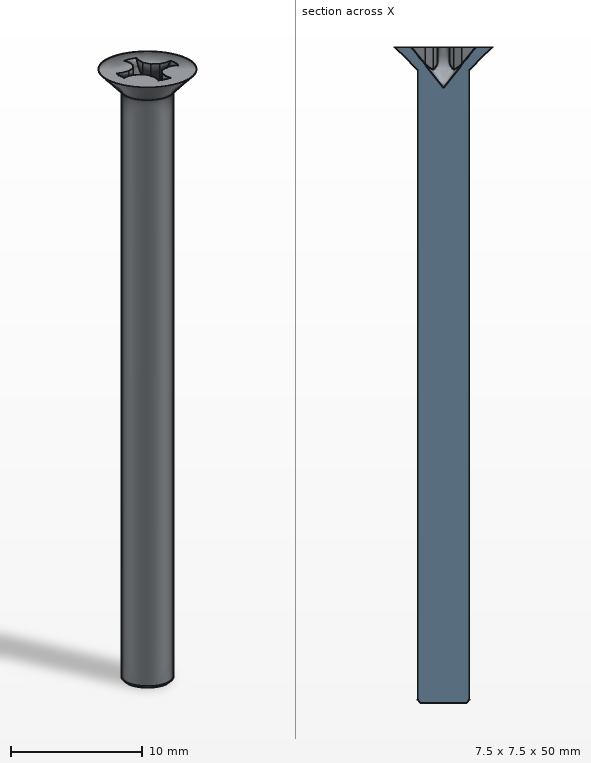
import cadquery as cq

total_length = 50.0
shank_diameter = 4.0
head_diameter = 7.5
tip_chamfer = 0.25

recess_span = 5.0
recess_depth = 3.1
wing_count = 4
rib_nose = 0.78
wing_root_distance = 1.38
wing_waist_distance = 1.95
wing_root_width = 0.92
wing_waist_width = 0.86
wing_end_width = 1.08

shank_radius = shank_diameter / 2
head_radius = head_diameter / 2
head_height = head_radius - shank_radius
recess_radius = recess_span / 2


def screw_body():
    """Chamfered shank and countersunk head as one revolved profile."""
    profile = [
        (0, 0),
        (shank_radius - tip_chamfer, 0),
        (shank_radius, tip_chamfer),
        (shank_radius, total_length - head_height),
        (head_radius, total_length),
        (0, total_length),
    ]
    return cq.Workplane("XZ").polyline(profile).close().revolve(360, (0, 0), (0, 1))


def rib(apex_height):
    """Upright rib in the +X +Y quarter, symmetric about the diagonal."""
    wing_side = [
        (recess_radius, wing_end_width / 2),
        (wing_waist_distance, wing_waist_width / 2),
        (wing_root_distance, wing_root_width / 2),
    ]
    mirrored_side = [(y, x) for x, y in reversed(wing_side)]
    outer_corner = (recess_radius, recess_radius)
    outline = wing_side + [(rib_nose, rib_nose)] + mirrored_side + [outer_corner]
    return cq.Workplane("XY", origin=(0, 0, apex_height)).polyline(outline).close().extrude(recess_depth)


def cross_recess():
    """Cone with its point down, divided into wings by the ribs."""
    apex_height = total_length - recess_depth
    cone_profile = [(0, apex_height), (recess_radius, total_length), (0, total_length)]
    recess = cq.Workplane("XZ").polyline(cone_profile).close().revolve(360, (0, 0), (0, 1))
    quarter_rib = rib(apex_height)
    for index in range(wing_count):
        turn = index * 360 / wing_count
        recess = recess.cut(quarter_rib.rotate((0, 0, 0), (0, 0, 1), turn))
    return recess


result = screw_body().cut(cross_recess())